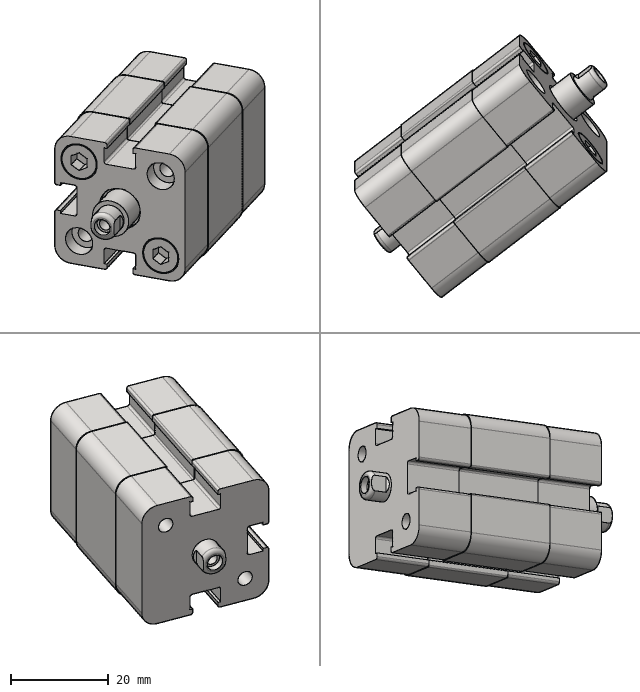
import cadquery as cq
import math


total_length = 57.0
front_reach = 9.5
rear_reach = 4.5
cap_length = 12.2
front_end_y = -total_length / 2
rear_end_y = total_length / 2
body_front_y = front_end_y + front_reach
body_rear_y = rear_end_y - rear_reach
body_length = body_rear_y - body_front_y
tube_length = body_length - 2 * cap_length

tube_side = 29.05
cap_side = 28.8
corner_radius = 3.5

tube_slot_mouth_half = 2.8
cap_slot_mouth_half = 2.85
tube_slot_floor_height = 9.6
cap_slot_floor_height = 9.5
slot_lip_height = 13.1
slot_floor_flat_half = 2.95
tube_slot_radius = 0.35
cap_slot_radius = 0.5
slot_angles = (0, 180, -90)

rod_diameter = 6.0
rod_end_radius = 0.9
rod_tip_length = rear_reach
collar_diameter = 8.0
collar_recess_diameter = 9.0
collar_recess_depth = 1.0

flat_half = 2.5
flat_length = 3.55
flat_runout = rod_diameter / 2 - flat_half

rod_hole_diameter = 2.45
rod_hole_depth = 6.0
rod_hole_tip_angle = 120.0
rod_counterbore_diameter = 3.5
rod_counterbore_depth = 1.5

corner_offset = 9.0
mount_hole_diameter = 3.25
mount_counterbore_diameter = 6.0
mount_counterbore_depth = 3.5
mount_corners = ((corner_offset, corner_offset), (-corner_offset, -corner_offset))
screw_corners = ((-corner_offset, corner_offset), (corner_offset, -corner_offset))
screw_bore_diameter = 8.0
screw_head_diameter = 7.5
screw_gap_depth = 4.0
hex_across_flats = 3.5
hex_depth = 3.0
hex_half_sector = 30.0


def cylinder(diameter, y_start, length, x=0.0, z=0.0):
    """Cylinder along +Y starting at y_start."""
    base = cq.Vector(x, y_start, z)
    return cq.Workplane(cq.Solid.makeCylinder(diameter / 2, length, base, cq.Vector(0, 1, 0)))


def box(width, height, y_start, length, z_bottom):
    """Box centred on X, rising from z_bottom."""
    centred = (True, False, False)
    return cq.Workplane().box(width, length, height, centered=centred).translate((0, y_start, z_bottom))


def body_section(side, slot_mouth_half, slot_floor_height, slot_radius, y_start, length):
    """Rounded square bar with T-slots on three sides."""
    half = side / 2
    section = box(side, side, y_start, length, -half).edges("|Y").fillet(corner_radius)

    cavity_half = slot_floor_flat_half + slot_radius
    cavity_height = slot_lip_height - slot_floor_height
    cavity = box(2 * cavity_half, cavity_height, y_start, length, slot_floor_height)
    cavity = cavity.edges("|Y and <Z").fillet(slot_radius)
    mouth = box(2 * slot_mouth_half, half - slot_lip_height, y_start, length, slot_lip_height)

    lip_wedge = box(slot_radius, slot_radius, y_start, length, half - slot_radius)
    lip_wedge = lip_wedge.translate((slot_mouth_half + slot_radius / 2, 0, 0))
    round_bar = cylinder(2 * slot_radius, y_start, length, slot_mouth_half + slot_radius, half - slot_radius)
    lip_wedge = lip_wedge.cut(round_bar)

    slot = cavity.union(mouth).union(lip_wedge).union(lip_wedge.mirror("YZ"))
    for angle in slot_angles:
        section = section.cut(slot.rotate((0, 0, 0), (0, 1, 0), angle))
    return section


def rod_tip():
    """Front rod tip with a rounded end and two wrench flats."""
    tip = cylinder(rod_diameter, front_end_y, rod_tip_length).faces("<Y").edges().fillet(rod_end_radius)

    shoulder_y = front_end_y + flat_length
    outer = rod_diameter / 2
    flat_cut = (
        cq.Workplane("XY", origin=(0, 0, -outer))
        .moveTo(flat_half, front_end_y)
        .lineTo(flat_half, shoulder_y)
        .lineTo(outer, shoulder_y + flat_runout)
        .lineTo(outer, front_end_y)
        .close()
        .extrude(rod_diameter)
    )
    return tip.cut(flat_cut).cut(flat_cut.mirror("YZ"))


def rod_hole():
    """Stepped blind hole with a conical bottom, entered from the front rod end."""
    hole_radius = rod_hole_diameter / 2
    counterbore_radius = rod_counterbore_diameter / 2
    hole_end_y = front_end_y + rod_hole_depth
    cone_length = hole_radius / math.tan(math.radians(rod_hole_tip_angle / 2))
    counterbore_y = front_end_y + rod_counterbore_depth
    return (
        cq.Workplane("XY")
        .moveTo(0, front_end_y)
        .lineTo(counterbore_radius, front_end_y)
        .lineTo(counterbore_radius, counterbore_y)
        .lineTo(hole_radius, counterbore_y)
        .lineTo(hole_radius, hole_end_y)
        .lineTo(0, hole_end_y + cone_length)
        .close()
        .revolve(360, (0, 0, 0), (0, 1, 0))
    )


def screw_cut(x, z):
    """Gap around a flush screw head, plus its hexagon socket."""
    gap = cylinder(screw_bore_diameter, body_front_y, screw_gap_depth, x, z)
    gap = gap.cut(cylinder(screw_head_diameter, body_front_y, screw_gap_depth, x, z))
    across_corners = hex_across_flats / math.cos(math.radians(hex_half_sector))
    socket = (
        cq.Workplane("XZ")
        .polygon(6, across_corners)
        .extrude(-hex_depth)
        .rotate((0, 0, 0), (0, 1, 0), hex_half_sector)
        .translate((x, body_front_y, z))
    )
    return gap.union(socket)


def mount_hole(x, z):
    """Through hole with a front counterbore."""
    hole = cylinder(mount_hole_diameter, body_front_y, body_length, x, z)
    return hole.union(cylinder(mount_counterbore_diameter, body_front_y, mount_counterbore_depth, x, z))


tube_front_y = body_front_y + cap_length
tube_rear_y = tube_front_y + tube_length
tube_section = (tube_side, tube_slot_mouth_half, tube_slot_floor_height, tube_slot_radius)
cap_section = (cap_side, cap_slot_mouth_half, cap_slot_floor_height, cap_slot_radius)
result = body_section(*tube_section, tube_front_y, tube_length)
for cap_y in (body_front_y, tube_rear_y):
    result = result.union(body_section(*cap_section, cap_y, cap_length))

for corner in mount_corners:
    result = result.cut(mount_hole(*corner))
for corner in screw_corners:
    result = result.cut(screw_cut(*corner))

collar_front_y = front_end_y + rod_tip_length
collar_back_y = body_front_y + collar_recess_depth
result = result.cut(cylinder(collar_recess_diameter, body_front_y, collar_recess_depth))
result = result.union(cylinder(collar_diameter, collar_front_y, collar_back_y - collar_front_y))

front_tip = rod_tip()
result = result.union(front_tip).union(front_tip.mirror("XZ"))
front_hole = rod_hole()
result = result.cut(front_hole).cut(front_hole.mirror("XZ"))